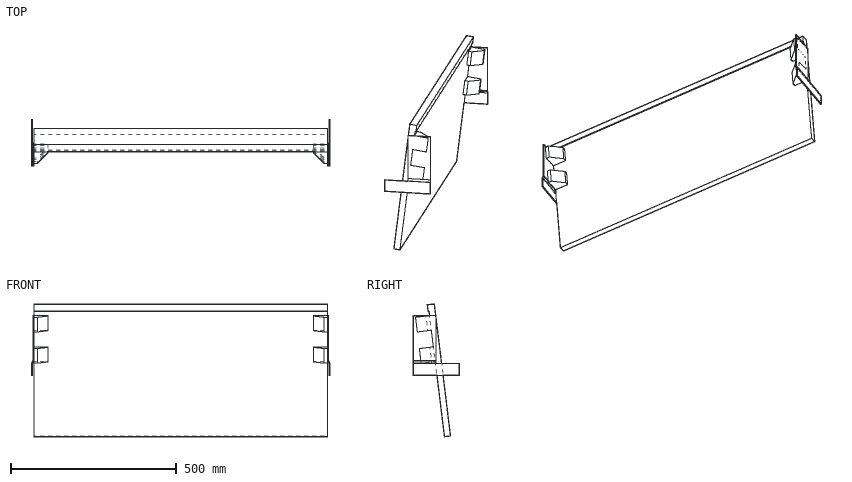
import cadquery as cq
import math

OVERALL_WIDTH = 900.0
OVERALL_HEIGHT = 401.01
LEAN_ANGLE = 7.0
PANEL_THICKNESS = 19.0
PANEL_FRONT_Y = 94.5
LIP_HEIGHT = 20.0
LIP_PROJECTION = 3.0

SHEET_THICKNESS = 3.0
JOGGLE_OFFSET = 4.0
PLATE_DEPTH = 69.0
PLATE_TOP_Z = 365.5
PLATE_BOTTOM_Z = 229.5
BEND_SHIFT = 1.5
STRIP_DEPTH = 140.0
STRIP_TOP_Z = 221.5
STRIP_BOTTOM_Z = 185.5

BLOCK_SIZE = 42.5
BLOCK_FLAT = 10.5
BLOCK_HEIGHT = 44.5
BLOCK_PITCH = 95.0
BLOCK_COUNT = 2
TOP_BLOCK_DROP = 33.5

LEAN = math.radians(LEAN_ANGLE)
PANEL_HALF_WIDTH = OVERALL_WIDTH / 2 - JOGGLE_OFFSET - SHEET_THICKNESS
PANEL_LENGTH = (OVERALL_HEIGHT - PANEL_THICKNESS * math.sin(LEAN)) / math.cos(LEAN)


def lean_into_place(body):
    """Tip an upright body, whose panel front is at Y = 0, into the leaning position."""
    tipped = body.rotate((0, 0, 0), (1, 0, 0), LEAN_ANGLE)
    return tipped.translate((0, PANEL_FRONT_Y, 0))


def upright_panel():
    """Flat panel with a lip along the top of its front face."""
    outline = [
        (0, 0),
        (PANEL_THICKNESS, 0),
        (PANEL_THICKNESS, PANEL_LENGTH),
        (-LIP_PROJECTION, PANEL_LENGTH),
        (-LIP_PROJECTION, PANEL_LENGTH - LIP_HEIGHT),
        (0, PANEL_LENGTH - LIP_HEIGHT),
    ]
    profile = cq.Workplane("YZ").polyline(outline).close()
    return profile.extrude(PANEL_HALF_WIDTH, both=True)


def upright_block(top):
    """Corner block at the +X end: a square with its free corner cut off at 45 degrees."""
    end = PANEL_HALF_WIDTH
    outline = [
        (end, 0),
        (end, -BLOCK_SIZE),
        (end - BLOCK_FLAT, -BLOCK_SIZE),
        (end - BLOCK_SIZE, -BLOCK_FLAT),
        (end - BLOCK_SIZE, 0),
    ]
    base = cq.Workplane("XY").workplane(offset=top - BLOCK_HEIGHT)
    return base.polyline(outline).close().extrude(BLOCK_HEIGHT)


def box_between(x_range, y_range, z_range):
    """Axis-aligned box from its (low, high) limits on each axis."""
    size = [high - low for low, high in (x_range, y_range, z_range)]
    corner = (x_range[0], y_range[0], z_range[0])
    return cq.Workplane("XY").box(*size, centered=False).translate(corner)


def end_bracket():
    """Bracket at the +X end: plate, sloping joggle and strip."""
    plate_inner = PANEL_HALF_WIDTH
    plate_outer = plate_inner + SHEET_THICKNESS
    strip_outer = OVERALL_WIDTH / 2
    strip_inner = strip_outer - SHEET_THICKNESS
    plate = box_between((plate_inner, plate_outer), (0, PLATE_DEPTH), (PLATE_BOTTOM_Z, PLATE_TOP_Z))
    strip = box_between((strip_inner, strip_outer), (0, STRIP_DEPTH), (STRIP_BOTTOM_Z, STRIP_TOP_Z))
    joggle_outline = [
        (plate_inner, PLATE_BOTTOM_Z),
        (plate_outer, PLATE_BOTTOM_Z),
        (strip_outer, STRIP_TOP_Z + BEND_SHIFT),
        (strip_outer, STRIP_TOP_Z),
        (strip_inner, STRIP_TOP_Z),
        (plate_inner, PLATE_BOTTOM_Z - BEND_SHIFT),
    ]
    joggle = cq.Workplane("XZ").polyline(joggle_outline).close().extrude(-PLATE_DEPTH)
    return plate.union(joggle).union(strip)


right_end = end_bracket()
for index in range(BLOCK_COUNT):
    block_top = PANEL_LENGTH - TOP_BLOCK_DROP - index * BLOCK_PITCH
    right_end = right_end.union(lean_into_place(upright_block(block_top)))

panel = lean_into_place(upright_panel())
result = panel.union(right_end).union(right_end.mirror("YZ"))